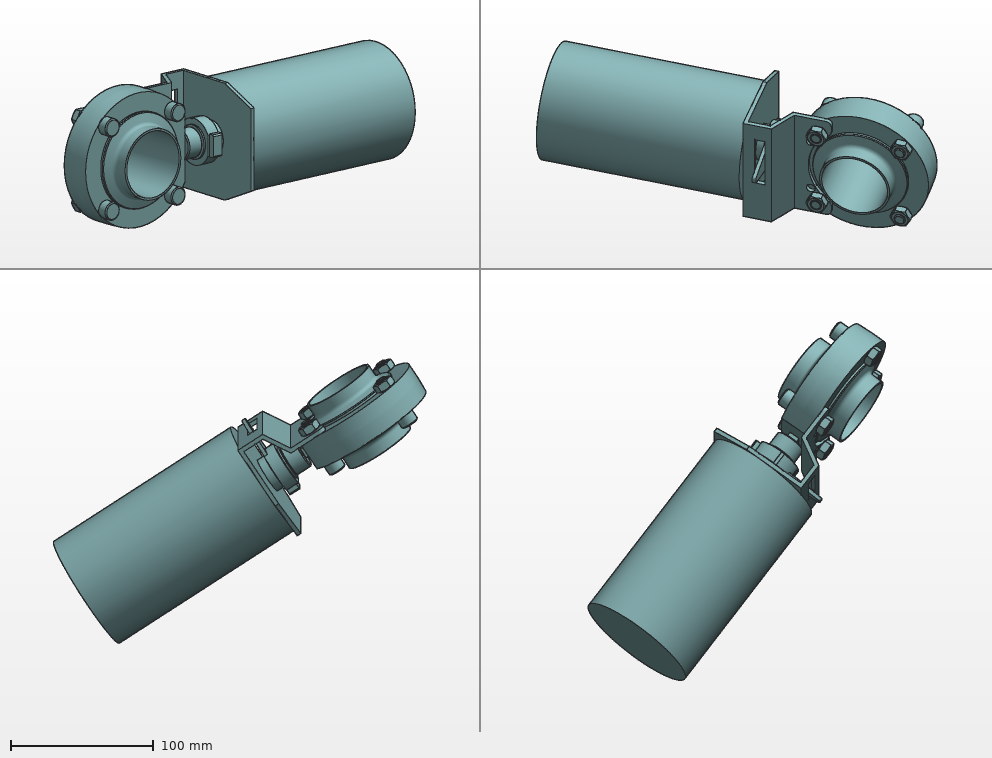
import cadquery as cq
import math


flange_radius = 49.5
flange_rear_radius = 49.0
flange_thickness = 22.5
flange_flat_y = 42.5
bore_diameter = 48.5
pipe_diameter = 51.5
pipe_half_length = 26.7
boss_diameter = 70.0
boss_height = 1.7
boss_chamfer_length = 0.8
neck_start_x = 19.0
neck_fillet_radius = 3.3
neck_cone_angle = 73

bolt_circle_diameter = 86.0
bolt_diameter = 8.0
bolt_tip_protrusion = 1.5
bolt_tip_chamfer = 0.7
head_diameter = 13.0
head_height = 7.8
head_chamfer = 0.8
nut_width = 13.0
nut_sides = 6
nut_height = 6.5
nut_face_diameter = 12.0
nut_rounding_angle = 30

sheet = 3.0
body_radius = 42.5
plate_top_y = 79.8
leg_outer_x = -33.5
upper_knee_y = 59.0
slope_angle = 30
plate_taper_start_x = 14.2
plate_end_half_width = 30.0
foot_end_y = 21.0
foot_corner_radius = 4.2
foot_cut_radius = 37.8
spare_hole_diameter = 6.5
spare_hole_y = 36.0
spare_hole_z = 21.1
slot_y_low = 63.7
slot_y_high = 71.5
slot_z_low = -9.7
slot_z_high = 29.8

total_length = 278.2
collar_diameter = 26.0
hub_diameter = 34.0
hub_top_y = 70.5
hub_bottom_y = 60.6
hub_flat_x = 15.0
step_diameter = 25.0
step_bottom_y = 59.3
socket_diameter = 22.0
socket_bottom_y = 46.7
socket_chamfer = 0.8
stem_width = 7.8
pointer_thickness = 2.8
pointer_base_x = -14.0
pointer_base_half_width = 9.5
pointer_tip_half_width = 2.2
pointer_tip_fillet = 2.0
lug_end_x = 19.2
lug_height = 8.0
lug_half_width = 8.3
lug_chamfer = 1.0
groove_offset = 3.3
groove_width = 2.5
groove_depth = 0.8

bolt_offset = bolt_circle_diameter / 2 * math.sqrt(0.5)
flange_half_thickness = flange_thickness / 2
foot_outer_x = -flange_half_thickness - sheet
bolt_places = [(y, z) for y in (bolt_offset, -bolt_offset) for z in (bolt_offset, -bolt_offset)]


def x_cylinder(diameter, x_start, x_end, y=0, z=0):
    """Cylinder parallel to X."""
    return (
        cq.Workplane("YZ", origin=(x_start, 0, 0))
        .center(y, z)
        .circle(diameter / 2)
        .extrude(x_end - x_start)
    )


def y_cylinder(diameter, y_start, y_end):
    """Cylinder on the Y axis."""
    return (
        cq.Workplane("XZ", origin=(0, y_start, 0))
        .circle(diameter / 2)
        .extrude(y_start - y_end)
    )


def block(x_range, y_range, z_range):
    """Box given by its limits along each axis."""
    size = [high - low for low, high in (x_range, y_range, z_range)]
    corner = (x_range[0], y_range[0], z_range[0])
    return cq.Workplane("XY").box(*size, centered=False).translate(corner)


def make_pipe_end():
    """Welding end on the +X side: chamfered boss, cone, concave fillet and plain pipe, solid."""
    angle = math.radians(neck_cone_angle)
    pipe_radius = pipe_diameter / 2
    fillet_centre_r = pipe_radius + neck_fillet_radius
    boss_x = flange_half_thickness + boss_height

    def fillet_point(turn):
        x = neck_start_x - neck_fillet_radius * math.sin(turn)
        return x, fillet_centre_r - neck_fillet_radius * math.cos(turn)

    cone_x, cone_r = fillet_point(angle)
    cone_base_x = boss_x + boss_chamfer_length
    cone_base_r = cone_r + (cone_x - cone_base_x) * math.tan(angle)
    return (
        cq.Workplane("XY")
        .moveTo(0, 0)
        .lineTo(0, boss_diameter / 2)
        .lineTo(boss_x, boss_diameter / 2)
        .lineTo(cone_base_x, cone_base_r)
        .lineTo(cone_x, cone_r)
        .threePointArc(fillet_point(angle / 2), (neck_start_x, pipe_radius))
        .lineTo(pipe_half_length, pipe_radius)
        .lineTo(pipe_half_length, 0)
        .close()
        .revolve(360, (0, 0, 0), (1, 0, 0))
    )


def make_valve():
    flange = (
        cq.Workplane("XY")
        .polyline([
            (-flange_half_thickness, 0),
            (-flange_half_thickness, flange_radius),
            (0, flange_radius),
            (flange_half_thickness, flange_rear_radius),
            (flange_half_thickness, 0),
        ])
        .close()
        .revolve(360, (0, 0, 0), (1, 0, 0))
    )
    across = (-flange_radius, flange_radius)
    flange = flange.cut(block(across, (flange_flat_y, flange_radius), across))

    pipe_end = make_pipe_end()
    valve = flange.union(pipe_end).union(pipe_end.mirror("YZ"))
    valve = valve.cut(x_cylinder(bore_diameter, -pipe_half_length, pipe_half_length))
    for y, z in bolt_places:
        valve = valve.cut(x_cylinder(bolt_diameter, -flange_half_thickness, flange_half_thickness, y, z))
    return valve


def make_fastener(y, z):
    """Bolt and nut as one solid. At +Y the nut sits on the bracket and the bolt ends flush."""
    if y > 0:
        nut_seat_x = foot_outer_x
        bolt_tip_x = nut_seat_x - nut_height
    else:
        nut_seat_x = -flange_half_thickness
        bolt_tip_x = nut_seat_x - nut_height - bolt_tip_protrusion
    nut_end_x = nut_seat_x - nut_height

    shank = x_cylinder(bolt_diameter, bolt_tip_x, flange_half_thickness, y, z)
    shank = shank.faces("<X").chamfer(bolt_tip_chamfer)

    head_end_x = flange_half_thickness + head_height
    head = x_cylinder(head_diameter, flange_half_thickness, head_end_x, y, z)
    head = head.faces(">X").chamfer(head_chamfer)

    corner_diameter = nut_width / math.cos(math.pi / nut_sides)
    nut = (
        cq.Workplane("YZ", origin=(nut_end_x, y, z))
        .polygon(nut_sides, corner_diameter)
        .extrude(nut_height)
    )
    rounding_width = (corner_diameter - nut_face_diameter) / 2
    rounding_depth = rounding_width * math.tan(math.radians(nut_rounding_angle))
    rounding = (
        cq.Workplane("XY")
        .polyline([
            (nut_end_x, 0),
            (nut_end_x, nut_face_diameter / 2),
            (nut_end_x + rounding_depth, corner_diameter / 2),
            (nut_seat_x - rounding_depth, corner_diameter / 2),
            (nut_seat_x, nut_face_diameter / 2),
            (nut_seat_x, 0),
        ])
        .close()
        .revolve(360, (0, 0, 0), (1, 0, 0))
        .translate((0, y, z))
    )
    nut = nut.intersect(rounding).cut(x_cylinder(bolt_diameter, nut_end_x, nut_seat_x, y, z))
    return shank.union(head).union(nut)


def make_bracket():
    """Bent sheet: mounting plate, leg, sloped web and foot."""
    foot_inner_x = foot_outer_x + sheet
    leg_inner_x = leg_outer_x + sheet
    slope = math.tan(math.radians(slope_angle))
    lower_knee_y = upper_knee_y - (foot_outer_x - leg_outer_x) * slope
    miter = sheet * math.tan(math.radians((90 - slope_angle) / 2))
    bracket = (
        cq.Workplane("XY", origin=(0, 0, -body_radius))
        .polyline([
            (body_radius, plate_top_y),
            (leg_outer_x, plate_top_y),
            (leg_outer_x, upper_knee_y),
            (foot_outer_x, lower_knee_y),
            (foot_outer_x, foot_end_y),
            (foot_inner_x, foot_end_y),
            (foot_inner_x, lower_knee_y + miter),
            (leg_inner_x, upper_knee_y + miter),
            (leg_inner_x, plate_top_y - sheet),
            (body_radius, plate_top_y - sheet),
        ])
        .close()
        .extrude(2 * body_radius)
    )
    bracket = bracket.cut(x_cylinder(2 * foot_cut_radius, foot_outer_x, foot_inner_x))
    foot_corners = cq.selectors.BoxSelector(
        (foot_outer_x - sheet, foot_end_y - sheet, -2 * body_radius),
        (foot_inner_x + sheet, foot_end_y + sheet, 2 * body_radius),
    )
    bracket = bracket.edges("|X").edges(foot_corners).fillet(foot_corner_radius)

    for side in (1, -1):
        corner = (
            cq.Workplane("XZ", origin=(0, plate_top_y, 0))
            .polyline([
                (plate_taper_start_x, side * body_radius),
                (body_radius, side * body_radius),
                (body_radius, side * plate_end_half_width),
            ])
            .close()
            .extrude(sheet)
        )
        bracket = bracket.cut(corner)

    bracket = bracket.cut(y_cylinder(collar_diameter, plate_top_y, plate_top_y - sheet))
    bracket = bracket.cut(
        block((leg_outer_x, leg_inner_x), (slot_y_low, slot_y_high), (slot_z_low, slot_z_high))
    )
    for side in (1, -1):
        bolt_z = side * bolt_offset
        spare_z = side * spare_hole_z
        bracket = bracket.cut(x_cylinder(bolt_diameter, foot_outer_x, foot_inner_x, bolt_offset, bolt_z))
        bracket = bracket.cut(
            x_cylinder(spare_hole_diameter, foot_outer_x, foot_inner_x, spare_hole_y, spare_z)
        )
    return bracket


def make_hub():
    """Round hub with one flat, two shallow grooves, a lug and the position pointer."""
    hub_radius = hub_diameter / 2
    hub_heights = (hub_bottom_y, hub_top_y)
    hub_across = (-hub_radius, hub_radius)
    hub = y_cylinder(hub_diameter, hub_bottom_y, hub_top_y)
    hub = hub.cut(block((hub_flat_x, hub_radius), hub_heights, hub_across))

    groove_near = groove_offset - groove_width / 2
    groove_far = groove_offset + groove_width / 2
    groove_floor = hub_radius - groove_depth
    hub = hub.cut(block((-groove_far, -groove_near), hub_heights, (groove_floor, hub_radius)))
    hub = hub.cut(block((-hub_radius, -groove_floor), hub_heights, (groove_near, groove_far)))

    lug_heights = (hub_top_y - lug_height, hub_top_y)
    lug = block((0, lug_end_x), lug_heights, (-lug_half_width, lug_half_width))
    hub = hub.union(lug.edges("|Y and >X").chamfer(lug_chamfer))

    pointer = (
        cq.Workplane("XZ", origin=(0, hub_top_y, 0))
        .polyline([
            (0, -pointer_base_half_width),
            (pointer_base_x, -pointer_base_half_width),
            (-body_radius, -pointer_tip_half_width),
            (-body_radius, pointer_tip_half_width),
            (pointer_base_x, pointer_base_half_width),
            (0, pointer_base_half_width),
        ])
        .close()
        .extrude(pointer_thickness)
        .edges("|Y and <X")
        .fillet(pointer_tip_fillet)
    )
    return hub.union(pointer)


def make_actuator():
    """Housing, collar, hub, stepped socket and square stem on the Y axis."""
    housing = y_cylinder(2 * body_radius, plate_top_y, total_length - flange_radius)
    collar = y_cylinder(collar_diameter, hub_top_y, plate_top_y)
    step = y_cylinder(step_diameter, step_bottom_y, hub_bottom_y)
    socket = y_cylinder(socket_diameter, socket_bottom_y, step_bottom_y)
    socket = socket.faces("|Y").chamfer(socket_chamfer)
    stem_half = (-stem_width / 2, stem_width / 2)
    stem = block(stem_half, (flange_flat_y, socket_bottom_y), stem_half)
    return housing.union(collar).union(make_hub()).union(step).union(socket).union(stem)


valve = make_valve()
fasteners = [make_fastener(y, z) for y, z in bolt_places]
bracket = make_bracket()
actuator = make_actuator()

result = cq.Compound.makeCompound([
    valve.val(),
    bracket.val(),
    actuator.val(),
    *[fastener.val() for fastener in fasteners],
])